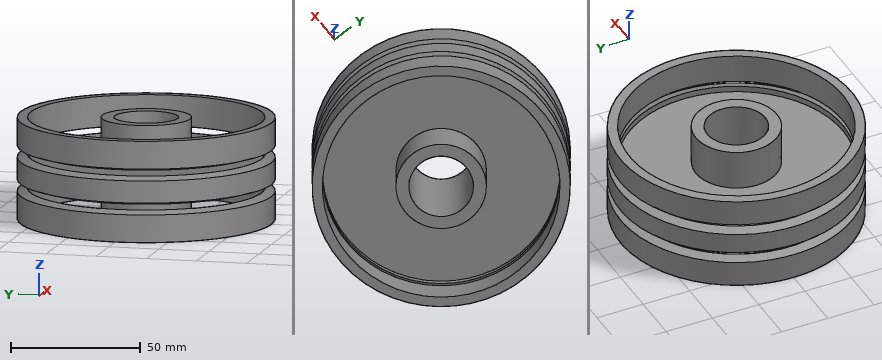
import cadquery as cq

outer_diameter = 100.0
rim_inner_diameter = 92.0
hub_diameter = 35.0
bore_diameter = 25.0
height = 40.0
web_thickness = 6.0
groove_offset = 6.7
groove_outer_width = 4.7
groove_inner_width = 2.3

outer_radius = outer_diameter / 2
rim_inner_radius = rim_inner_diameter / 2
hub_radius = hub_diameter / 2
bore_radius = bore_diameter / 2
half_height = height / 2
half_web = web_thickness / 2
wheel_outer_edge = groove_offset - groove_outer_width / 2
wheel_inner_edge = groove_offset - groove_inner_width / 2
ring_outer_edge = groove_offset + groove_outer_width / 2
ring_inner_edge = groove_offset + groove_inner_width / 2


def revolve_profile(points):
    """Revolve a closed (radius, height) profile about the Z axis."""
    return cq.Workplane("XZ").polyline(points).close().revolve(360, (0, 0, 0), (0, 1, 0))


def make_wheel():
    """Bored hub, flat web and middle rim with a conical flank on each side."""
    upper_edge = [
        (bore_radius, half_height),
        (hub_radius, half_height),
        (hub_radius, half_web),
        (rim_inner_radius, half_web),
        (rim_inner_radius, wheel_inner_edge),
        (outer_radius, wheel_outer_edge),
    ]
    lower_edge = [(radius, -z) for radius, z in reversed(upper_edge)]
    return revolve_profile(upper_edge + lower_edge)


def make_end_ring(side):
    """Open ring with a conical flank facing the wheel; side is +1 above, -1 below."""
    return revolve_profile([
        (rim_inner_radius, side * ring_inner_edge),
        (outer_radius, side * ring_outer_edge),
        (outer_radius, side * half_height),
        (rim_inner_radius, side * half_height),
    ])


wheel = make_wheel()
end_rings = [make_end_ring(side) for side in (1, -1)]

result = cq.Compound.makeCompound([wheel.val(), *[ring.val() for ring in end_rings]])